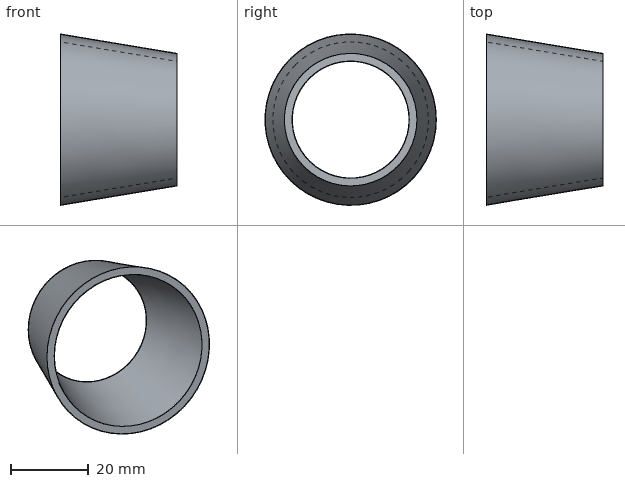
import cadquery as cq

length = 30.0
large_outer_diameter = 44.0
small_outer_diameter = 34.0
wall = 2.02

large_outer_radius = large_outer_diameter / 2
small_outer_radius = small_outer_diameter / 2

wall_section = (
    cq.Workplane("XY")
    .moveTo(0, large_outer_radius - wall)
    .lineTo(0, large_outer_radius)
    .lineTo(length, small_outer_radius)
    .lineTo(length, small_outer_radius - wall)
    .close()
)

result = wall_section.revolve(360, (0, 0, 0), (1, 0, 0))